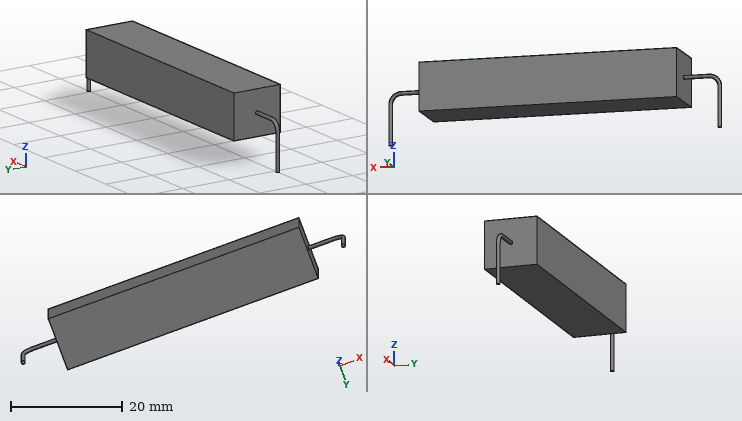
import cadquery as cq

overall_length = 62.2
body_length = 48.15
body_width = 10.0
body_height = 9.0
overall_height = 14.0
wire_diameter = 0.7
bend_radius = 2.0

wire_radius = wire_diameter / 2
body_end_x = body_length / 2
lead_x = overall_length / 2 - wire_radius
bend_start_x = lead_x - bend_radius
lead_tip_z = body_height / 2 - overall_height


def make_body():
    """Plain rectangular resistor body."""
    return cq.Workplane("XY").box(body_length, body_width, body_height)


def make_lead(side):
    """Round wire leaving one end face and bending down; side is +1 or -1 along X."""
    path = (
        cq.Workplane("XZ")
        .moveTo(side * body_end_x, 0)
        .lineTo(side * bend_start_x, 0)
        .tangentArcPoint((side * lead_x, -bend_radius), relative=False)
        .lineTo(side * lead_x, lead_tip_z)
    )
    end_face = cq.Workplane("YZ", origin=(side * body_end_x, 0, 0))
    return end_face.circle(wire_radius).sweep(path)


body = make_body()
leads = [make_lead(side) for side in (-1, 1)]

result = cq.Compound.makeCompound([body.val(), *[lead.val() for lead in leads]])